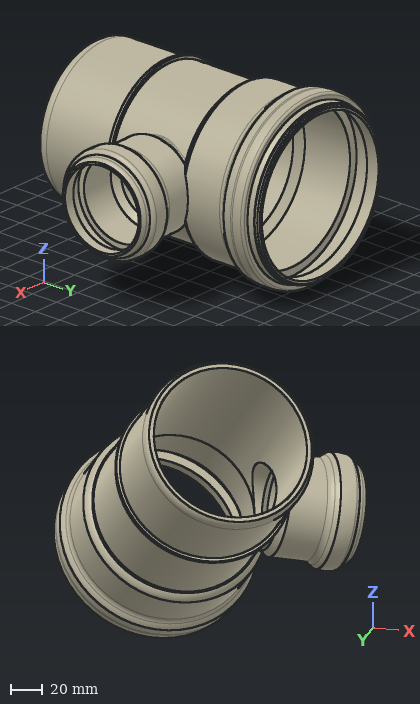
import cadquery as cq
import math


run_length = 186.5
spigot_radius = 110.5 / 2
bore_radius = 99.8 / 2
spigot_tip_radius = 53.0
spigot_tip_length = 7.3
collar_radius = 114.9 / 2
collar_start = 59.1
collar_width = 2.5

step_lead_in = 119.4
step_start = 120.5
step_foot_radius = 55.8
step_end = 125.3
step_bulge = 1.0
socket_radius = 120.5 / 2
socket_bore_radius = 111.2 / 2
seat_length = 4.8
bulge_radius = 131.0 / 2
bulge_shoulder_radius = 64.9
bulge_foot_radius = 62.0
socket_neck = 155.4
bulge_foot = 159.0
bulge_start = 162.8
crown_start = 169.2
crown_end = 170.5
bulge_end = 177.0
bulge_face = 178.7
bulge_face_radius = 63.2
lip_start = 183.1
lip_foot_radius = 59.1
lip_radius = 117.3 / 2
lip_edge_break = 1.1
groove_radius = 123.6 / 2

branch_position = 93.2
branch_tilt = 2.5
neck_radius = 58.7 / 2
branch_bore_radius = 50.2 / 2
branch_step_start = 51.1
branch_step_end = 55.8
branch_radius = 66.4 / 2
branch_socket_bore_radius = 59.0 / 2
branch_neck = 80.0
branch_bulge_foot = 84.3
branch_bulge_foot_radius = 34.9
branch_bulge_start = 87.5
branch_bulge_end = 98.1
branch_bulge_radius = 37.7
branch_bulge_shoulder_radius = 37.1
branch_lip_start = 100.9
branch_lip_foot_radius = 34.1
branch_lip_end = 103.3
branch_lip_radius = 33.4
branch_length = 106.5
branch_mouth_radius = 31.1
branch_groove_radius = 67.9 / 2
weld_fillet = 1.0


def revolve_y(profile):
    """Close a radius/height profile and turn it about the Y axis."""
    return profile.close().revolve(360, (0, 0, 0), (0, 1, 0))


def solid_profile(radius, start):
    """Begin a profile on the axis and step out to a radius."""
    return cq.Workplane("XY").moveTo(0, start).lineTo(radius, start)


def ring(radius, start, end):
    """Solid disc about the Y axis between two heights."""
    return revolve_y(solid_profile(radius, start).lineTo(radius, end).lineTo(0, end))


def socket_cavity(inner_radius, outer_radius, start, seat_start, seat_end, end):
    """Bore that widens through a conical seat into a socket."""
    return revolve_y(
        solid_profile(inner_radius, start)
        .lineTo(inner_radius, seat_start)
        .lineTo(outer_radius, seat_end)
        .lineTo(outer_radius, end)
        .lineTo(0, end)
    )


def run_body():
    tip_bend = (
        spigot_tip_radius + (spigot_radius - spigot_tip_radius) * math.sin(math.pi / 4),
        spigot_tip_length * (1 - math.cos(math.pi / 4)),
    )
    crown_bend = (
        bulge_radius - (bulge_radius - bulge_shoulder_radius) / 4,
        (bulge_start + crown_start) / 2,
    )
    step_bend = (
        (step_foot_radius + socket_radius + step_bulge) / 2,
        (step_start + step_end - step_bulge) / 2,
    )
    body = revolve_y(
        solid_profile(spigot_tip_radius, 0)
        .threePointArc(tip_bend, (spigot_radius, spigot_tip_length))
        .lineTo(spigot_radius, step_lead_in)
        .lineTo(step_foot_radius, step_start)
        .threePointArc(step_bend, (socket_radius, step_end))
        .lineTo(socket_radius, socket_neck)
        .tangentArcPoint((bulge_foot_radius, bulge_foot), relative=False)
        .tangentArcPoint((bulge_shoulder_radius, bulge_start), relative=False)
        .threePointArc(crown_bend, (bulge_radius, crown_start))
        .lineTo(bulge_radius, crown_end)
        .tangentArcPoint((bulge_shoulder_radius, bulge_end), relative=False)
        .tangentArcPoint((bulge_face_radius, bulge_face), relative=False)
        .lineTo(socket_radius, bulge_face)
        .lineTo(lip_foot_radius, lip_start)
        .lineTo(lip_radius, lip_start)
        .lineTo(lip_radius, run_length - lip_edge_break)
        .lineTo(lip_radius - lip_edge_break, run_length)
        .lineTo(0, run_length)
    )
    return body.union(ring(collar_radius, collar_start, collar_start + collar_width))


def run_cavity():
    cavity = socket_cavity(
        bore_radius, socket_bore_radius, 0, step_end - seat_length, step_end, run_length
    )
    return cavity.union(ring(groove_radius, bulge_start, bulge_end))


def branch_body():
    return revolve_y(
        solid_profile(neck_radius, 0)
        .lineTo(neck_radius, branch_step_start)
        .lineTo(branch_radius, branch_step_end)
        .lineTo(branch_radius, branch_neck)
        .tangentArcPoint((branch_bulge_foot_radius, branch_bulge_foot), relative=False)
        .tangentArcPoint((branch_bulge_shoulder_radius, branch_bulge_start), relative=False)
        .threePointArc(
            (branch_bulge_radius, (branch_bulge_start + branch_bulge_end) / 2),
            (branch_bulge_shoulder_radius, branch_bulge_end),
        )
        .tangentArcPoint((branch_lip_foot_radius, branch_lip_start), relative=False)
        .lineTo(branch_lip_radius, branch_lip_end)
        .tangentArcPoint((branch_mouth_radius, branch_length), relative=False)
        .lineTo(0, branch_length)
    )


def branch_cavity():
    cavity = socket_cavity(
        branch_bore_radius,
        branch_socket_bore_radius,
        0,
        branch_step_end,
        branch_step_end + seat_length,
        branch_length,
    )
    return cavity.union(ring(branch_groove_radius, branch_bulge_start, branch_bulge_end))


def place_branch(shape):
    """Swing a shape from the Y axis onto the tilted branch axis."""
    return shape.rotate((0, 0, 0), (0, 0, 1), branch_tilt - 90).translate((0, branch_position, 0))


def fillet_weld(body):
    """Round the curved seam where the branch meets the plain spigot wall."""
    seam_region = cq.selectors.BoxSelector(
        (0, collar_start + collar_width, -branch_radius),
        (spigot_radius + weld_fillet, step_lead_in + weld_fillet, branch_radius),
        boundingbox=True,
    )
    return body.edges("%BSPLINE").edges(seam_region).fillet(weld_fillet)


outside = fillet_weld(run_body().union(place_branch(branch_body())))
result = outside.cut(run_cavity()).cut(place_branch(branch_cavity()))